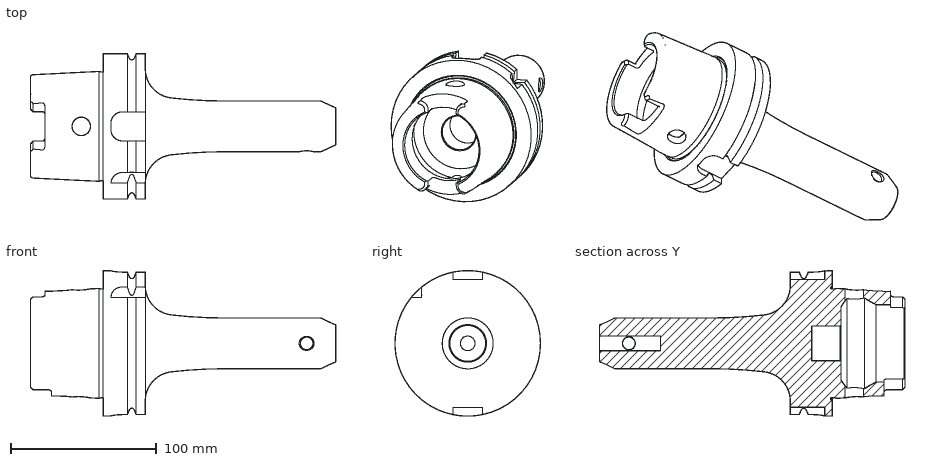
import cadquery as cq
import math

flange_start = 50.0
flange_end = 79.0
total_length = 210.0

taper_root_radius = 37.95
taper_slope = 1 / 20
taper_front_radius = taper_root_radius - taper_slope * flange_start
front_round = 2.0

relief_start = 47.2
relief_radius = 37.4
relief_depth = 1.0
relief_floor_radius = 38.7
relief_mouth_radius = 39.4

bore_radius = 26.5
mouth_chamfer = 1.0
clamp_shoulder = 20.0
clamp_cone_angle = 30.0
clamp_radius = 31.0
cavity_depth = 44.0
floor_radius = 25.2
floor_cone_length = 4.0
coolant_bore_radius = 11.9
coolant_bore_depth = 20.0
coolant_chamfer = 0.6

slot_half_width = 10.0
slot_corner_radius = 6.0
slot_crest = 32.0
slot_bottom = 20.0
slot_root_radius = 1.7
slot_mouth_chamfer = 1.9
upper_slot_depth = 10.0
lower_slot_depth = 14.5

access_hole_diameter = 12.5
access_hole_x = 35.0

flange_radius = 50.0
groove_left = 66.6
groove_right = 72.7
groove_radius = 45.7
groove_half_angle = 24.0
cutter_radius = 8.0
recess_start = 55.3
keyway_half_width = 10.0
keyway_floor = 44.0
notch_offset = 31.6

nose_radius = 17.5
nose_start = 133.6
neck_fillet_radius = 20.0
neck_sweep_radius = 320.0
tip_cone_start = 199.5
tip_cone_end = 209.4
tip_cone_radius = 12.9
tip_face_radius = 12.3
tip_cone_round = 2.0

tool_bore_diameter = 10.0
tool_bore_depth = 42.0
screw_x = 189.7
screw_core_diameter = 8.6
screw_mouth_diameter = 10.3
screw_countersink_depth = 1.5


def revolve_about_x(profile):
    """Close a profile drawn in (x, radius) and turn it about the X axis."""
    return profile.close().revolve(360, (0, 0, 0), (1, 0, 0))


def make_body():
    """Solid outer shape with the two tangent arcs of the neck."""
    sweep_center_r = nose_radius + neck_sweep_radius
    fillet_center_x = flange_end + neck_fillet_radius
    lean = math.asin((nose_start - fillet_center_x) / (neck_sweep_radius - neck_fillet_radius))

    def on_sweep(angle):
        x = nose_start - neck_sweep_radius * math.sin(angle)
        return (x, sweep_center_r - neck_sweep_radius * math.cos(angle))

    joint = on_sweep(lean)
    fillet_center_r = joint[1] + neck_fillet_radius * math.cos(lean)
    middle_angle = (lean + math.pi / 2) / 2
    fillet_middle = (
        fillet_center_x - neck_fillet_radius * math.sin(middle_angle),
        fillet_center_r - neck_fillet_radius * math.cos(middle_angle),
    )
    body = revolve_about_x(
        cq.Workplane("XY")
        .lineTo(0, taper_front_radius)
        .lineTo(flange_start, taper_root_radius)
        .lineTo(flange_start, flange_radius)
        .lineTo(flange_end, flange_radius)
        .lineTo(flange_end, fillet_center_r)
        .threePointArc(fillet_middle, joint)
        .threePointArc(on_sweep(lean / 2), (nose_start, nose_radius))
        .lineTo(tip_cone_start, nose_radius)
        .lineTo(tip_cone_end, tip_cone_radius)
        .lineTo(total_length, tip_face_radius)
        .lineTo(total_length, 0)
    )
    cone_edge = cq.selectors.BoxSelector(
        (tip_cone_start - 1, -flange_radius, -flange_radius),
        (tip_cone_start + 1, flange_radius, flange_radius),
        boundingbox=True,
    )
    body = body.edges(cone_edge).fillet(tip_cone_round)
    return body.faces("<X").edges().fillet(front_round)


def make_cavity():
    """Clamping cavity with its undercut, and the blind coolant bore behind it."""
    cone_length = (clamp_radius - bore_radius) / math.tan(math.radians(clamp_cone_angle))
    return revolve_about_x(
        cq.Workplane("XY")
        .lineTo(0, bore_radius + mouth_chamfer)
        .lineTo(mouth_chamfer, bore_radius)
        .lineTo(clamp_shoulder, bore_radius)
        .lineTo(clamp_shoulder + cone_length, clamp_radius)
        .lineTo(cavity_depth - floor_cone_length, clamp_radius)
        .lineTo(cavity_depth, floor_radius)
        .lineTo(cavity_depth, coolant_bore_radius + coolant_chamfer)
        .lineTo(cavity_depth + coolant_chamfer, coolant_bore_radius)
        .lineTo(cavity_depth + coolant_bore_depth, coolant_bore_radius)
        .lineTo(cavity_depth + coolant_bore_depth, 0)
    )


def make_relief():
    """Ring undercut at the taper root, reaching into the flange face."""
    start_radius = taper_front_radius + taper_slope * relief_start
    return revolve_about_x(
        cq.Workplane("XY")
        .moveTo(relief_start, start_radius)
        .lineTo(relief_start + start_radius - relief_radius + relief_depth, relief_radius)
        .lineTo(flange_start + relief_depth, relief_radius)
        .lineTo(flange_start + relief_depth, relief_floor_radius)
        .lineTo(flange_start, relief_mouth_radius)
    )


def make_gripper_groove():
    """V groove around the flange, its floor a full round tangent to both flanks."""
    angle = math.radians(groove_half_angle)
    half_width = (groove_right - groove_left) / 2
    middle = groove_left + half_width
    apex_radius = flange_radius - half_width / math.tan(angle)
    floor_round = (groove_radius - apex_radius) * math.sin(angle) / (1 - math.sin(angle))
    tangent_x = floor_round * math.cos(angle)
    tangent_radius = groove_radius + floor_round * (1 - math.sin(angle))
    return revolve_about_x(
        cq.Workplane("XY")
        .moveTo(groove_left, flange_radius)
        .lineTo(middle - tangent_x, tangent_radius)
        .threePointArc((middle, groove_radius), (middle + tangent_x, tangent_radius))
        .lineTo(groove_right, flange_radius)
    )


def make_drive_slot(depth, side):
    """Slot cutter for the +Z (side 1) or -Z (side -1) wall, flaring over rounded shoulders.

    A slab ahead of the open end carries the chamfer of the slot mouth.
    """
    arc_center_y = slot_half_width + slot_corner_radius
    arc_center_z = slot_crest - slot_corner_radius
    reach = slot_corner_radius * math.sqrt(0.5)
    arc_y = arc_center_y - reach
    arc_z = arc_center_z + reach
    width = 2 * flange_radius
    height = flange_radius - slot_bottom
    slot = (
        cq.Workplane("YZ")
        .moveTo(-slot_half_width, slot_bottom)
        .lineTo(-slot_half_width, arc_center_z)
        .threePointArc((-arc_y, arc_z), (-arc_center_y, slot_crest))
        .lineTo(-flange_radius, slot_crest)
        .lineTo(-flange_radius, flange_radius)
        .lineTo(flange_radius, flange_radius)
        .lineTo(flange_radius, slot_crest)
        .lineTo(arc_center_y, slot_crest)
        .threePointArc((arc_y, arc_z), (slot_half_width, arc_center_z))
        .lineTo(slot_half_width, slot_bottom)
        .close()
        .extrude(depth)
    )
    walls = cq.selectors.BoxSelector(
        (-1, -flange_radius, slot_bottom + 1),
        (depth + 1, flange_radius, slot_crest + 1),
    )
    slot = slot.faces(">X").edges(walls).fillet(slot_root_radius)
    slab = cq.Workplane("XY").box(front_round, width, height, centered=(False, True, False))
    slot = slot.union(slab.translate((-front_round, 0, slot_bottom)))
    mouth = cq.selectors.BoxSelector(
        (-0.1, 1 - flange_radius, slot_bottom + 1),
        (0.1, flange_radius - 1, slot_crest + 0.1),
    )
    slot = slot.edges(mouth).chamfer(slot_mouth_chamfer)
    return slot if side > 0 else slot.mirror("XY")


def make_recess(start_z, end_z, low_y, high_y):
    """Pocket open at the nose side of the flange, with milled corners at its closed end."""
    return (
        cq.Workplane("XY")
        .workplane(offset=start_z)
        .moveTo(recess_start, low_y)
        .lineTo(flange_end, low_y)
        .lineTo(flange_end, high_y)
        .lineTo(recess_start, high_y)
        .close()
        .extrude(end_z - start_z)
        .edges("|Z and <X")
        .fillet(cutter_radius)
    )


def make_screw_hole():
    """Countersunk clamping-screw hole from the -Y side down to the tool bore."""
    mouth = cq.Workplane("XZ", origin=(screw_x, -nose_radius, 0))
    core = mouth.circle(screw_core_diameter / 2).extrude(-nose_radius)
    countersink = (
        mouth.circle(screw_mouth_diameter / 2)
        .workplane(offset=-screw_countersink_depth)
        .circle(screw_core_diameter / 2)
        .loft()
    )
    return core.union(countersink)


result = make_body()
result = result.cut(make_cavity())
result = result.cut(make_drive_slot(upper_slot_depth, 1))
result = result.cut(make_drive_slot(lower_slot_depth, -1))
result = result.cut(make_relief())
result = result.cut(make_gripper_groove())

for floor, rim in ((keyway_floor, flange_radius), (-flange_radius, -keyway_floor)):
    result = result.cut(make_recess(floor, rim, -keyway_half_width, keyway_half_width))
result = result.cut(make_recess(notch_offset, flange_radius, -flange_radius, -notch_offset))

access_hole = (
    cq.Workplane("XY")
    .center(access_hole_x, 0)
    .circle(access_hole_diameter / 2)
    .extrude(flange_radius, both=True)
)
result = result.cut(access_hole)

tool_bore = (
    cq.Workplane("YZ", origin=(total_length, 0, 0))
    .circle(tool_bore_diameter / 2)
    .extrude(-tool_bore_depth)
)
result = result.cut(tool_bore)
result = result.cut(make_screw_hole())